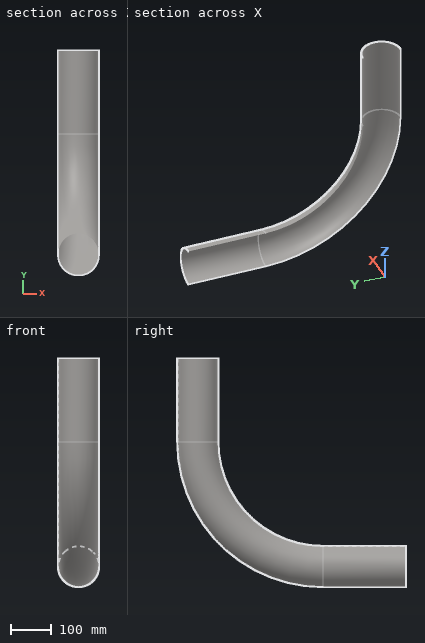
import cadquery as cq
import math

outer_diameter = 101.6
inner_diameter = 98.4
overall_length = 558.8
bend_radius = 3 * outer_diameter
leg_length = overall_length - bend_radius - outer_diameter / 2


def centreline():
    """Path down the vertical leg, round the elbow and out along +Y."""
    half_bend = math.radians(45)
    bend_middle = (
        bend_radius * (1 - math.cos(half_bend)),
        -bend_radius * math.sin(half_bend),
    )
    return (
        cq.Workplane("YZ")
        .moveTo(0, leg_length)
        .lineTo(0, 0)
        .threePointArc(bend_middle, (bend_radius, -bend_radius))
        .lineTo(bend_radius + leg_length, -bend_radius)
    )


def pipe():
    """Ring section swept along the centreline, open at both ends."""
    return (
        cq.Workplane("XY", origin=(0, 0, leg_length))
        .circle(outer_diameter / 2)
        .circle(inner_diameter / 2)
        .sweep(centreline())
    )


result = pipe()